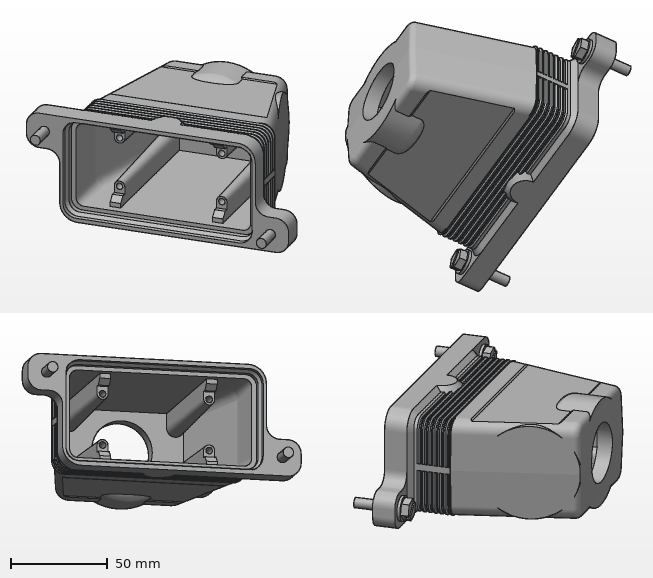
import cadquery as cq
import math


FLANGE_HALF_X = 54.3
FLANGE_WIDTH = 58.0
FLANGE_HALF_Z = FLANGE_WIDTH / 2
FLANGE_DEPTH = 12.2
FLANGE_CORNER = 9.9
EAR_REACH = 72.8
EAR_INNER_Z = 9.7
EAR_RADIUS = 7.1

COLLAR_HALF_X = 51.5
COLLAR_HALF_Z = 26.5
COLLAR_CORNER = 7.0
COLLAR_TOP = 35.0
FOOT_HEIGHT = 2.9
FOOT_FLARE = FLANGE_HALF_Z - COLLAR_HALF_Z
GROOVE_COUNT = 6
GROOVE_PITCH = 3.0
GROOVE_DEPTH = 0.9
GROOVE_MOUTH = 2.3
GROOVE_FLOOR = 0.7
GROOVES_END = 34.5
SPINE_WIDTH = 3.8

HOOD_START = 34.0
HOOD_END = 100.1
HOOD_BASE_HALF_X = 51.2
HOOD_END_HALF_X = 34.0
HOOD_DRAFT = 2.0
HOOD_CORNER = 6.8
HOOD_END_FILLET = 3.5
PANEL_RECESS = 0.51
PANEL_START = 43.0
PANEL_END = 88.6
PANEL_SLOPE = 1.0

PAD_RADIUS = 8.0

ENTRY_RADIUS = FLANGE_HALF_Z
ENTRY_BORE = 32.2
ENTRY_START = 76.1
ENTRY_END = 99.2
ENTRY_FILLET = 6.3

SIDE_SEAT_RADIUS = 25.6
SIDE_SEAT_Y = 74.6

SEAL_HALF_X = 52.5
SEAL_HALF_Z = 26.8
SEAL_CORNER = 7.5
SEAL_STEP = 1.5
SEAL_STEP_START = 2.9
SEAL_STEP_END = 5.2
SEAL_DEPTH = 8.5
CAVITY_BEND = 32.0
CAVITY_END = 91.7
MOUTH_SECTION = (48.5, 23.1, 4.4)
BEND_SECTION = (46.9, 22.5, 5.8)
END_SECTION = (32.6, 21.1, 4.7)

POST_X = 28.4
POST_Z = 13.5
POST_WIDTH = 5.8
POST_FRONT = 18.8
POST_DRAFT = 1.4
POST_HOLE = 3.5
POST_HOLE_DEPTH = 11.6
STOP_Z = 17.5
STOP_STEP_FRONT = 16.2
STOP_FRONT = 13.0
STOP_CREST_Z = 20.5
WALL_OVERLAP = 1.5

SCREW_X = 62.7
SCREW_Z = 19.4
SCREW_DIAMETER = 5.5
SCREW_TIP = -13.0
WASHER_DIAMETER = 13.5
WASHER_TOP = 13.8
HEAD_TOP = 18.0
HEAD_ACROSS_CORNERS = 11.8
HEAD_ANGLE = 44.0
SLOT_WIDTH = 2.0
SLOT_DEPTH = 2.2
SLOT_ANGLE = HEAD_ANGLE + 90


def facing_y(y, x=0, z=0):
    """Workplane at height y with its normal along +Y (its second axis runs along -Z)."""
    return cq.Workplane(cq.Plane(origin=(x, y, z), xDir=(1, 0, 0), normal=(0, 1, 0)))


def rounded_block(y0, y1, half_x, half_z, corner, inset=0.0):
    """Rounded block from y0 to y1; its sides lean inwards by inset along the way."""
    height = y1 - y0
    outline = cq.Sketch().rect(2 * half_x, 2 * half_z).vertices().fillet(corner)
    taper = math.degrees(math.atan2(inset, height))
    return facing_y(y0).placeSketch(outline).extrude(height, taper=taper)


def lofted_block(y0, section0, y1, section1):
    """Rounded block blending between two (half_x, half_z, corner) sections."""
    def outline(section):
        half_x, half_z, corner = section
        return cq.Sketch().rect(2 * half_x, 2 * half_z).vertices().fillet(corner)

    offset = cq.Location(cq.Vector(0, 0, y1 - y0))
    return facing_y(y0).placeSketch(outline(section0), outline(section1).moved(offset)).loft(ruled=True)


def cylinder(y0, y1, diameter, x=0, z=0):
    return facing_y(y0, x, z).circle(diameter / 2).extrude(y1 - y0)


def make_flange():
    body = rounded_block(0, FLANGE_DEPTH, FLANGE_HALF_X, FLANGE_HALF_Z, FLANGE_CORNER)
    for side in (1, -1):
        wall_x = -side * FLANGE_HALF_X
        ear_x = -side * EAR_REACH
        outer_z = side * FLANGE_HALF_Z
        inner_z = side * EAR_INNER_Z
        ear = (
            cq.Workplane("XZ")
            .polyline([(0, outer_z), (ear_x, outer_z), (ear_x, inner_z), (wall_x, inner_z),
                       (wall_x, 0), (0, 0)])
            .close()
            .extrude(-FLANGE_DEPTH)
        )
        for corner in ((ear_x, outer_z), (ear_x, inner_z), (wall_x, inner_z)):
            edge = cq.selectors.NearestToPointSelector((corner[0], FLANGE_DEPTH / 2, corner[1]))
            ear = ear.edges(edge).fillet(EAR_RADIUS)
        body = body.union(ear)
    return body


def make_collar():
    foot = rounded_block(FLANGE_DEPTH, FLANGE_DEPTH + FOOT_HEIGHT,
                         COLLAR_HALF_X + FOOT_FLARE, FLANGE_HALF_Z, FLANGE_CORNER, FOOT_FLARE)
    collar = rounded_block(FLANGE_DEPTH, COLLAR_TOP, COLLAR_HALF_X, COLLAR_HALF_Z, COLLAR_CORNER)
    core = rounded_block(0, COLLAR_TOP, COLLAR_HALF_X - GROOVE_DEPTH,
                         COLLAR_HALF_Z - GROOVE_DEPTH, COLLAR_CORNER - GROOVE_DEPTH)
    spine = cq.Workplane().box(2 * COLLAR_HALF_X, 2 * COLLAR_TOP, SPINE_WIDTH)
    flank = (GROOVE_MOUTH - GROOVE_FLOOR) / 2

    for index in range(GROOVE_COUNT):
        mouth_end = GROOVES_END - index * GROOVE_PITCH
        mouth_start = mouth_end - GROOVE_MOUTH
        slab = (
            cq.Workplane()
            .box(3 * COLLAR_HALF_X, GROOVE_MOUTH, 3 * COLLAR_HALF_Z)
            .translate((0, mouth_end - GROOVE_MOUTH / 2, 0))
        )
        lower_flank = rounded_block(mouth_start, mouth_start + flank, COLLAR_HALF_X,
                                    COLLAR_HALF_Z, COLLAR_CORNER, GROOVE_DEPTH)
        upper_flank = rounded_block(mouth_end - flank, mouth_end, COLLAR_HALF_X - GROOVE_DEPTH,
                                    COLLAR_HALF_Z - GROOVE_DEPTH,
                                    COLLAR_CORNER - GROOVE_DEPTH, -GROOVE_DEPTH)
        collar = collar.cut(slab.cut(core).cut(lower_flank).cut(upper_flank).cut(spine))
    return collar.union(foot)


def make_hood():
    sharp_half = (
        cq.Workplane("XY")
        .polyline([(-HOOD_BASE_HALF_X, HOOD_START), (HOOD_BASE_HALF_X, HOOD_START),
                   (HOOD_END_HALF_X, HOOD_END), (-HOOD_END_HALF_X, HOOD_END)])
        .close()
        .extrude(COLLAR_HALF_Z, taper=HOOD_DRAFT)
    )
    middle_x = (HOOD_BASE_HALF_X + HOOD_END_HALF_X) / 2
    middle_y = (HOOD_START + HOOD_END) / 2
    half = sharp_half
    for side in (1, -1):
        wall_corner = cq.selectors.NearestToPointSelector(
            (side * middle_x, middle_y, COLLAR_HALF_Z)
        )
        half = half.edges(wall_corner).fillet(HOOD_CORNER)
    half = half.faces(">Y").edges(">Z").fillet(HOOD_END_FILLET)

    side_seat = (
        cq.Workplane("YZ")
        .center(SIDE_SEAT_Y, 0)
        .circle(SIDE_SEAT_RADIUS)
        .extrude(2 * HOOD_BASE_HALF_X)
        .intersect(sharp_half)
    )
    panel_z = COLLAR_HALF_Z - PANEL_RECESS
    panel = (
        cq.Workplane("YZ")
        .polyline([(PANEL_START, COLLAR_HALF_Z), (PANEL_END, COLLAR_HALF_Z),
                   (PANEL_END - PANEL_SLOPE, panel_z), (PANEL_START + PANEL_SLOPE, panel_z)])
        .close()
        .extrude(HOOD_BASE_HALF_X, both=True)
    )
    half = half.union(side_seat).cut(panel)
    return half.union(half.mirror("XY"))


def make_pads():
    pad_height = FLANGE_HALF_Z - COLLAR_HALF_Z + GROOVE_DEPTH
    pads = cq.Workplane()
    for side in (1, -1):
        pad = cq.Workplane(cq.Solid.makeCone(
            PAD_RADIUS, PAD_RADIUS + pad_height, pad_height,
            pnt=cq.Vector(0, FLANGE_DEPTH, side * FLANGE_HALF_Z), dir=cq.Vector(0, 0, -side)
        ))
        pads = pads.union(pad)
    flange_space = cq.Workplane().box(2 * FLANGE_HALF_X, 2 * FLANGE_DEPTH, 2 * FLANGE_HALF_Z)
    return pads.cut(flange_space)


def make_cable_entry():
    entry = cylinder(ENTRY_START, ENTRY_END, 2 * ENTRY_RADIUS)
    return entry.faces("<Y").edges().fillet(ENTRY_FILLET)


def make_interior():
    step_half_x = SEAL_HALF_X - SEAL_STEP
    step_half_z = SEAL_HALF_Z - SEAL_STEP
    parts = [
        rounded_block(0, SEAL_STEP_START, SEAL_HALF_X, SEAL_HALF_Z, SEAL_CORNER),
        rounded_block(SEAL_STEP_START, SEAL_STEP_END, SEAL_HALF_X, SEAL_HALF_Z, SEAL_CORNER,
                      SEAL_STEP),
        rounded_block(SEAL_STEP_END, SEAL_DEPTH, step_half_x, step_half_z,
                      SEAL_CORNER - SEAL_STEP),
        lofted_block(SEAL_DEPTH, MOUTH_SECTION, CAVITY_BEND, BEND_SECTION),
        lofted_block(CAVITY_BEND, BEND_SECTION, CAVITY_END, END_SECTION),
        cylinder(CAVITY_END, HOOD_END + 1.5, ENTRY_BORE),
    ]
    interior = parts[0]
    for part in parts[1:]:
        interior = interior.union(part)
    return interior


def make_post():
    """Post at +X, +Z: a drafted column with a screw hole and a stop against the wall."""
    wall_z = MOUTH_SECTION[1]
    length = CAVITY_END + WALL_OVERLAP - POST_FRONT
    radius = POST_WIDTH / 2
    column = (
        facing_y(POST_FRONT, POST_X)
        .moveTo(-radius, -wall_z)
        .lineTo(-radius, -POST_Z)
        .threePointArc((0, -POST_Z + radius), (radius, -POST_Z))
        .lineTo(radius, -wall_z)
        .close()
        .extrude(length, taper=-POST_DRAFT)
    )
    stop = (
        cq.Workplane("YZ", origin=(POST_X, 0, 0))
        .polyline([(POST_FRONT, STOP_Z), (STOP_STEP_FRONT, STOP_Z), (STOP_FRONT, STOP_CREST_Z),
                   (STOP_FRONT, wall_z), (POST_FRONT, wall_z)])
        .close()
        .extrude(radius, both=True)
    )
    hole = cylinder(POST_FRONT, POST_FRONT + POST_HOLE_DEPTH, POST_HOLE, POST_X, POST_Z)
    return column.union(stop).cut(hole)


def make_screw(x, z):
    shank = cylinder(SCREW_TIP, FLANGE_DEPTH, SCREW_DIAMETER, x, z)
    washer = cylinder(FLANGE_DEPTH, WASHER_TOP, WASHER_DIAMETER, x, z)
    head = (
        facing_y(WASHER_TOP)
        .polygon(6, HEAD_ACROSS_CORNERS)
        .extrude(HEAD_TOP - WASHER_TOP)
        .rotate((0, 0, 0), (0, 1, 0), -HEAD_ANGLE)
        .translate((x, 0, z))
    )
    slot = (
        cq.Workplane()
        .box(2 * HEAD_ACROSS_CORNERS, 2 * SLOT_DEPTH, SLOT_WIDTH)
        .rotate((0, 0, 0), (0, 1, 0), -SLOT_ANGLE)
        .translate((x, HEAD_TOP, z))
    )
    return shank.union(washer).union(head.cut(slot))


hood = make_flange().union(make_collar()).union(make_hood())
hood = hood.union(make_pads()).union(make_cable_entry()).cut(make_interior())

post = make_post()
for corner_post in (post, post.mirror("YZ")):
    hood = hood.union(corner_post).union(corner_post.mirror("XY"))

for side in (1, -1):
    hood = hood.union(make_screw(-side * SCREW_X, side * SCREW_Z))

result = hood